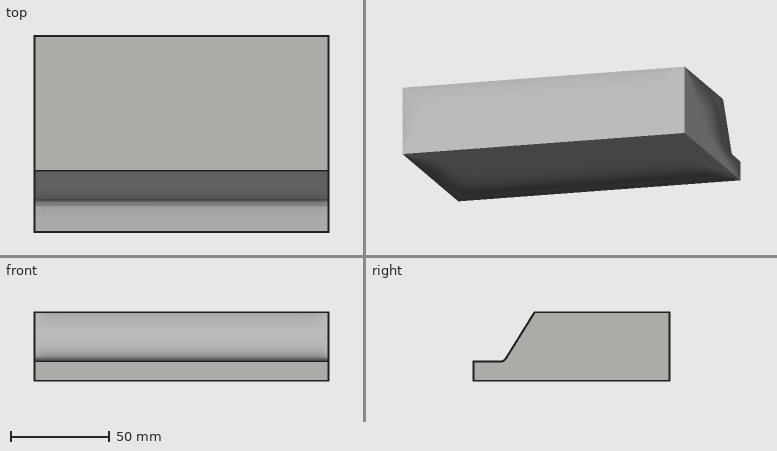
import cadquery as cq

length = 150.0
depth = 100.0
height = 35.0

step_height = 9.9
top_depth = 68.8
slope_run = 15.6
corner_radius = 3.0

front = -depth / 2
back = depth / 2
top_edge = back - top_depth
slope_foot = top_edge - slope_run

profile = (
    cq.Workplane("YZ")
    .moveTo(front, 0)
    .lineTo(back, 0)
    .lineTo(back, height)
    .lineTo(top_edge, height)
    .lineTo(slope_foot, step_height)
    .lineTo(front, step_height)
    .close()
)
block = profile.extrude(length / 2, both=True)

inside_corner = cq.selectors.NearestToPointSelector((0, slope_foot, step_height))
result = block.edges(inside_corner).fillet(corner_radius)